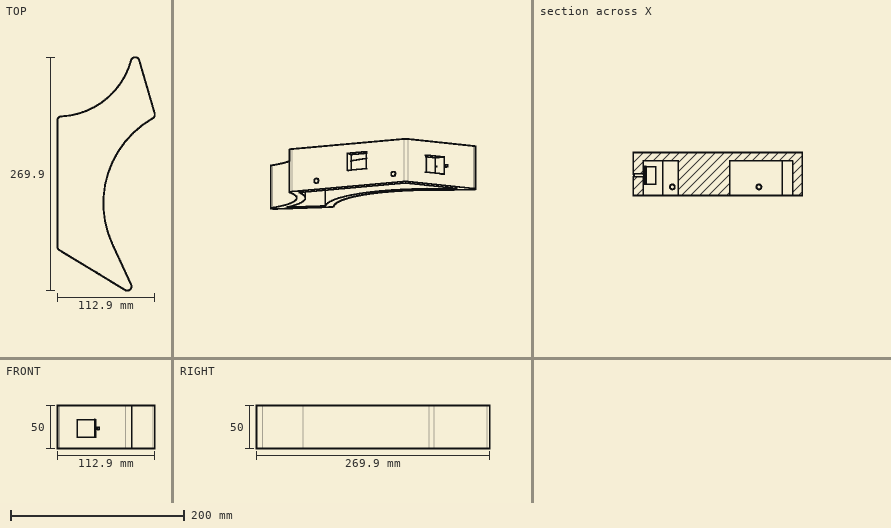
import cadquery as cq
import math

HEIGHT = 50.0
WALL = 10.0
CORNER_RADIUS = 5.0

BACK_TOP = (0.0, 86.7)
BACK_BOTTOM = (0.0, -66.5)
LOWER_TIP = (92.3, -122.5)
UPPER_TIP = (88.2, 174.2)
FRONT_CORNER = (113.8, 86.3)

SMALL_ARC_RADIUS = 87.6
LARGE_ARC_START = (63.8, -60.9)

MOUNT_DIAMETER = 5.5
MOUNT_SPACING = 100.0
MOUNT_Z = 10.0

WINDOW_WIDTH = 25.0
WINDOW_HEIGHT = 20.0
BACK_WINDOW_Y = -2.8
BACK_WINDOW_Z = 29.0
END_WINDOW_X = 34.0
END_WINDOW_Z = 23.3

PILOT_DIAMETER = 2.8
PILOT_X = 47.3

BACK_CUT_LENGTH = 4 * WALL
END_CUT_LENGTH = 4 * WALL

END_RUN = LOWER_TIP[0] - BACK_BOTTOM[0]
END_DROP = BACK_BOTTOM[1] - LOWER_TIP[1]
END_COSINE = END_RUN / math.hypot(END_RUN, END_DROP)


def end_wall_y(x):
    """Y of the outer face of the sloping end wall at a given X."""
    return BACK_BOTTOM[1] - END_DROP * (x - BACK_BOTTOM[0]) / END_RUN


def make_body():
    return (
        cq.Workplane("XY")
        .moveTo(*BACK_TOP)
        .lineTo(*BACK_BOTTOM)
        .lineTo(*LOWER_TIP)
        .lineTo(*LARGE_ARC_START)
        .tangentArcPoint(FRONT_CORNER, relative=False)
        .lineTo(*UPPER_TIP)
        .radiusArc(BACK_TOP, SMALL_ARC_RADIUS)
        .close()
        .extrude(HEIGHT)
    )


def round_corners(body):
    for corner in (BACK_TOP, BACK_BOTTOM, LOWER_TIP, UPPER_TIP, FRONT_CORNER):
        nearest = cq.selectors.NearestToPointSelector((*corner, HEIGHT / 2))
        body = body.edges("|Z").edges(nearest).fillet(CORNER_RADIUS)
    return body


def make_cavity(body):
    """Hollow that leaves an even wall at the sides and top."""
    outline = body.faces("<Z").wires().val()
    return cq.Workplane("XY").add(outline).toPending().offset2D(-WALL).extrude(HEIGHT - WALL)


def back_cutouts():
    """Window and mounting holes, cut along X through the back wall."""
    window = cq.Workplane("XY").box(BACK_CUT_LENGTH, WINDOW_WIDTH, WINDOW_HEIGHT)
    cutouts = window.translate((0, BACK_WINDOW_Y, BACK_WINDOW_Z))
    hole = cq.Workplane("YZ").circle(MOUNT_DIAMETER / 2).extrude(BACK_CUT_LENGTH / 2, both=True)
    for side in (-1, 1):
        cutouts = cutouts.union(hole.translate((0, side * MOUNT_SPACING / 2, MOUNT_Z)))
    return cutouts


def end_cutouts():
    """Window and pilot hole, cut along Y through the sloping end wall."""
    window = cq.Workplane("XY").box(WINDOW_WIDTH * END_COSINE, END_CUT_LENGTH, WINDOW_HEIGHT)
    window = window.translate((END_WINDOW_X, end_wall_y(END_WINDOW_X), END_WINDOW_Z))
    pilot = cq.Workplane("XZ").circle(PILOT_DIAMETER / 2).extrude(END_CUT_LENGTH / 2, both=True)
    pilot = pilot.translate((PILOT_X, end_wall_y(PILOT_X), END_WINDOW_Z))
    return window.union(pilot)


body = round_corners(make_body())
result = body.cut(make_cavity(body)).cut(back_cutouts()).cut(end_cutouts())